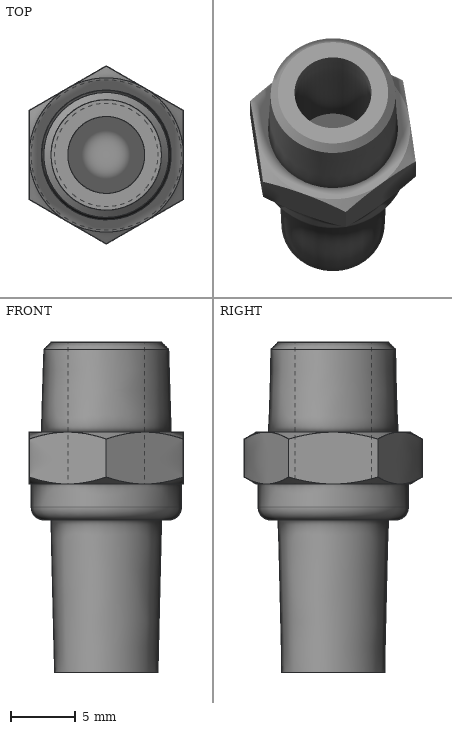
import cadquery as cq
import math

total_height = 25.7
collar_bottom = 11.87
hex_bottom = 14.67
hex_top = 18.7

stem_bottom_diameter = 8.05
stem_top_diameter = 8.6

collar_diameter = 11.7
collar_fillet = 1.0

hex_across_flats = 12.0
hex_chamfer_angle = 30.0

spigot_bottom_diameter = 10.1
spigot_top_diameter = 9.71
spigot_chamfer = 0.57
bore_diameter = 6.0
bore_bottom = hex_bottom


def tapered_cylinder(bottom_z, top_z, bottom_diameter, top_diameter):
    return (
        cq.Workplane("XY")
        .workplane(offset=bottom_z)
        .circle(bottom_diameter / 2)
        .workplane(offset=top_z - bottom_z)
        .circle(top_diameter / 2)
        .loft(ruled=True)
    )


def chamfered_hexagon():
    corner_diameter = hex_across_flats / math.cos(math.radians(30))
    prism = (
        cq.Workplane("XY")
        .workplane(offset=hex_bottom)
        .polygon(6, corner_diameter)
        .extrude(hex_top - hex_bottom)
        .rotate((0, 0, 0), (0, 0, 1), 30)
    )
    flat_radius = hex_across_flats / 2
    corner_radius = corner_diameter / 2
    corner_drop = (corner_radius - flat_radius) * math.tan(math.radians(hex_chamfer_angle))
    envelope = (
        cq.Workplane("XZ")
        .moveTo(0, hex_bottom)
        .lineTo(flat_radius, hex_bottom)
        .lineTo(corner_radius, hex_bottom + corner_drop)
        .lineTo(corner_radius, hex_top - corner_drop)
        .lineTo(flat_radius, hex_top)
        .lineTo(0, hex_top)
        .close()
        .revolve(360, (0, 0, 0), (0, 1, 0))
    )
    return prism.intersect(envelope)


stem = tapered_cylinder(0, collar_bottom, stem_bottom_diameter, stem_top_diameter)

collar = (
    cq.Workplane("XY")
    .workplane(offset=collar_bottom)
    .circle(collar_diameter / 2)
    .extrude(hex_bottom - collar_bottom)
    .faces("<Z")
    .edges()
    .fillet(collar_fillet)
)

chamfer_bottom = total_height - spigot_chamfer
spigot_end_diameter = spigot_top_diameter - 2 * spigot_chamfer
spigot = tapered_cylinder(hex_top, chamfer_bottom, spigot_bottom_diameter, spigot_top_diameter)
spigot_end = tapered_cylinder(chamfer_bottom, total_height, spigot_top_diameter, spigot_end_diameter)

bore = (
    cq.Workplane("XY")
    .workplane(offset=bore_bottom)
    .circle(bore_diameter / 2)
    .extrude(total_height - bore_bottom)
)

result = stem.union(collar).union(chamfered_hexagon()).union(spigot).union(spigot_end).cut(bore)